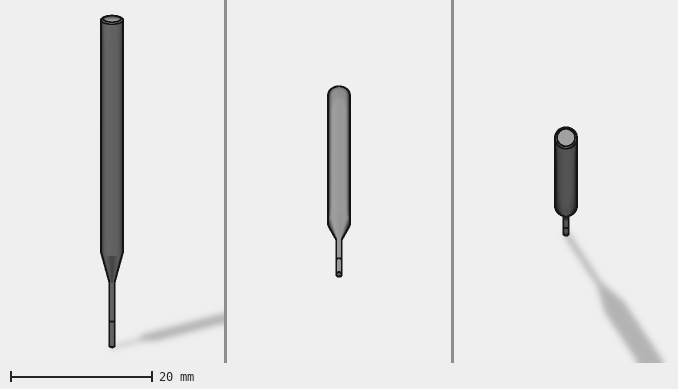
import cadquery as cq
import math

total_length = 50.15
shank_diameter = 3.15
shank_radius = shank_diameter / 2

chamfer_width = 0.3
chamfer_height = 0.2

taper_bottom = 10.05
taper_top = 14.6
neck_diameter = 0.8
neck_radius = neck_diameter / 2

tip_length = 4.1
point_angle = 118.0
point_height = neck_radius / math.tan(math.radians(point_angle / 2))


def revolve_profile(points):
    """Turn a closed (radius, z) outline around the Z axis."""
    return cq.Workplane("XZ").polyline(points).close().revolve(360, (0, 0, 0), (0, 1, 0))


def make_holder():
    """Chamfered shank, conical taper and slim neck, turned as one piece."""
    return revolve_profile([
        (0, tip_length),
        (neck_radius, tip_length),
        (neck_radius, taper_bottom),
        (shank_radius, taper_top),
        (shank_radius, total_length - chamfer_height),
        (shank_radius - chamfer_width, total_length),
        (0, total_length),
    ])


def make_cutting_tip():
    """Round cutting tip with a conical point, butted against the neck."""
    return revolve_profile([
        (0, 0),
        (neck_radius, point_height),
        (neck_radius, tip_length),
        (0, tip_length),
    ])


holder = make_holder()
cutting_tip = make_cutting_tip()

result = cq.Compound.makeCompound([holder.val(), cutting_tip.val()])